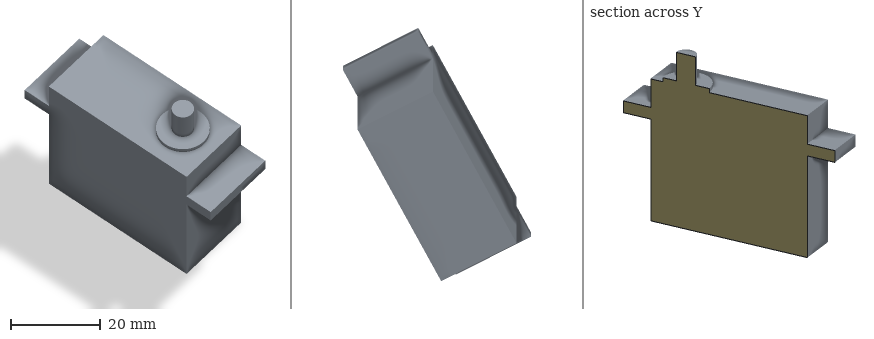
import cadquery as cq

body_length = 40.0
body_width = 19.0
body_height = 35.0

ear_overhang = 7.0
ear_thickness = 3.0
ear_bottom = 25.0

shaft_to_body_end = 9.0
collar_diameter = 12.0
collar_height = 1.0
shaft_diameter = 5.0
shaft_length = 7.0

shaft_x = body_length / 2 - shaft_to_body_end
ear_span = body_length + 2 * ear_overhang


def block(length, height, bottom):
    """Full-width block standing on the given height."""
    return (
        cq.Workplane("XY")
        .workplane(offset=bottom)
        .rect(length, body_width)
        .extrude(height)
    )


def output_cylinder(diameter, height, bottom):
    """Vertical cylinder on the output shaft axis."""
    return (
        cq.Workplane("XY")
        .workplane(offset=bottom)
        .center(shaft_x, 0)
        .circle(diameter / 2)
        .extrude(height)
    )


body = block(body_length, body_height, 0)
ears = block(ear_span, ear_thickness, ear_bottom)
collar = output_cylinder(collar_diameter, collar_height, body_height)
shaft = output_cylinder(shaft_diameter, shaft_length, body_height + collar_height)

result = body.union(ears).union(collar).union(shaft).clean()